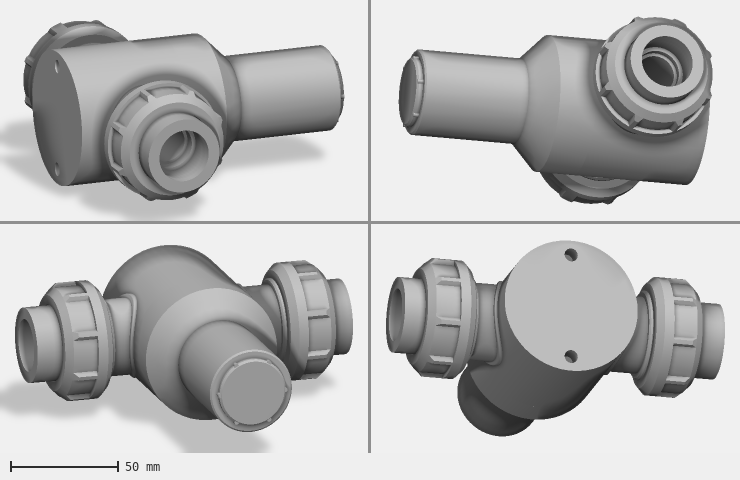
import cadquery as cq
LEFT, RIGHT = -1, 1

BODY_RADIUS = 64.0 / 2
BODY_BOTTOM = -33.1
BODY_SEAM = 21.5
MOUNT_HOLE_DIAMETER = 6.3
MOUNT_HOLE_SPACING = 50.0
MOUNT_HOLE_DEPTH = 9.2

NECK_RADIUS = 40 / 2
SHOULDER_START = 39.3
SHOULDER_END = SHOULDER_START + BODY_RADIUS - NECK_RADIUS
BONNET_TOP = 101.3
BONNET_CHAMFER = 0.8
CAP_RADIUS = 16.2
CAP_HEIGHT = 3.0
CAP_CHAMFER = 1.0
CAP_RIB_COUNT = 6
CAP_RIB_RADIUS = 1.1
CAP_RIB_HEIGHT = 2.6
CAP_RIB_TIP_RADIUS = 17.0

PIPE_RADIUS = 36.0 / 2
PIPE_BORE_DIAMETER = 18.0
SOCKET_FLOOR = 23.1
BEAD_WIDTH = 1.7
BEAD_HEIGHT = 1.4
BEAD_FILLET = 0.6
COLLAR_RADIUS = 21.0
COLLAR_INNER = 41.0
COLLAR_OUTER = 42.7
COLLAR_CHAMFER = 0.8
SPIGOT_RADIUS = 19.1
JOINT_FACE = 55.5

NUT_INNER = 43.5
NUT_OUTER = 66.0
NUT_MOUTH_RADIUS = 36.0 / 2
NUT_FLANGE_RADIUS = 27.7
NUT_FLANGE_CHAMFER = 3.2
NUT_FLANGE_OUTER = 51.3
NUT_BARREL_RADIUS = 25.7
NUT_BARREL_CHAMFER = 3.2
NUT_BARREL_END = NUT_OUTER - NUT_BARREL_CHAMFER
NUT_RIB_COUNT = 8
NUT_RIB_TOP_WIDTH = 2.0
NUT_WIDE_RIB_TOP_WIDTH = 5.4
NUT_RIB_BEVEL = 2.3
NUT_RIB_CROWN = 0.8
NUT_RIB_FLANK_SPREAD = 1.15

NUT_TURN = {LEFT: 135, RIGHT: 180}

TAIL_RADIUS = 17.7
TAIL_END = {LEFT: 75.9, RIGHT: 78.1}
TAIL_SOCKET_DIAMETER = 24.6
TAIL_SOCKET_DEPTH = 17.0
TAIL_BORE_DIAMETER = 21.0


def x_cylinder(radius, start, end):
    return cq.Workplane("YZ").workplane(offset=start).circle(radius).extrude(end - start)


def y_cylinder(radius, start, end):
    return cq.Workplane("XZ").workplane(offset=-start).circle(radius).extrude(start - end)


def revolve_about_x(profile):
    """Revolve a closed outline of (x, radius) points about the X axis."""
    return cq.Workplane("XY").polyline(profile).close().revolve(360, (0, 0), (1, 0))


def placed(solid, side):
    """A body modelled on +X, turned about the housing axis to its own side."""
    return solid if side == RIGHT else solid.rotate((0, 0, 0), (0, 1, 0), 180)


def make_weld_bead():
    """Rounded ring that follows the saddle where a branch pipe enters the housing."""
    bead_reach = BODY_RADIUS + BEAD_HEIGHT
    sleeve = x_cylinder(PIPE_RADIUS + BEAD_WIDTH, SOCKET_FLOOR, bead_reach)
    bead = sleeve.intersect(y_cylinder(bead_reach, -BODY_RADIUS, BODY_RADIUS))
    return bead.faces(">X").edges().fillet(BEAD_FILLET)


def make_housing():
    housing = y_cylinder(BODY_RADIUS, BODY_BOTTOM, BODY_SEAM)
    for side in (LEFT, RIGHT):
        housing = housing.union(placed(make_weld_bead(), side))
    for side in (LEFT, RIGHT):
        socket = x_cylinder(PIPE_RADIUS, SOCKET_FLOOR, BODY_RADIUS + 2 * BEAD_HEIGHT)
        housing = housing.cut(placed(socket, side))
    for height in (-MOUNT_HOLE_SPACING / 2, MOUNT_HOLE_SPACING / 2):
        hole = y_cylinder(MOUNT_HOLE_DIAMETER / 2, BODY_BOTTOM, BODY_BOTTOM + MOUNT_HOLE_DEPTH)
        housing = housing.cut(hole.translate((0, 0, height)))
    return housing


def make_bonnet():
    profile = [
        (0, BODY_SEAM),
        (BODY_RADIUS, BODY_SEAM),
        (BODY_RADIUS, SHOULDER_START),
        (NECK_RADIUS, SHOULDER_END),
        (NECK_RADIUS, BONNET_TOP - BONNET_CHAMFER),
        (NECK_RADIUS - BONNET_CHAMFER, BONNET_TOP),
        (0, BONNET_TOP),
    ]
    return cq.Workplane("XY").polyline(profile).close().revolve(360, (0, 0), (0, 1))


def make_cap():
    """Low disc on the bonnet with small round grip ribs around its edge."""
    cap = y_cylinder(CAP_RADIUS, BONNET_TOP, BONNET_TOP + CAP_HEIGHT)
    cap = cap.faces(">Y").edges().chamfer(CAP_CHAMFER)
    rib = y_cylinder(CAP_RIB_RADIUS, BONNET_TOP, BONNET_TOP + CAP_RIB_HEIGHT)
    rib = rib.translate((CAP_RIB_TIP_RADIUS - CAP_RIB_RADIUS, 0, 0))
    for index in range(CAP_RIB_COUNT):
        cap = cap.union(rib.rotate((0, 0, 0), (0, 1, 0), index * 360 / CAP_RIB_COUNT))
    return cap


def make_branch_pipe():
    """Pipe from the housing socket to the union, with a collar and a spigot inside the nut."""
    profile = [
        (SOCKET_FLOOR, 0),
        (SOCKET_FLOOR, PIPE_RADIUS),
        (COLLAR_INNER, PIPE_RADIUS),
        (COLLAR_INNER, COLLAR_RADIUS - COLLAR_CHAMFER),
        (COLLAR_INNER + COLLAR_CHAMFER, COLLAR_RADIUS),
        (COLLAR_OUTER, COLLAR_RADIUS),
        (COLLAR_OUTER, SPIGOT_RADIUS),
        (JOINT_FACE, SPIGOT_RADIUS),
        (JOINT_FACE, 0),
    ]
    pipe = revolve_about_x(profile)
    return pipe.cut(x_cylinder(PIPE_BORE_DIAMETER / 2, SOCKET_FLOOR, JOINT_FACE))


def make_nut_rib(top_width):
    """Grip rib at +Z with sloped flanks, flush with the flange and bevelled at its outer end."""
    half_top = top_width / 2
    rib_height = NUT_FLANGE_RADIUS - NUT_BARREL_RADIUS
    root_radius = NUT_BARREL_RADIUS - rib_height
    half_root = half_top + 2 * NUT_RIB_FLANK_SPREAD
    crown_radius = NUT_FLANGE_RADIUS + NUT_RIB_CROWN
    half_crown = half_top - NUT_RIB_FLANK_SPREAD * NUT_RIB_CROWN / rib_height
    section = [
        (-half_root, root_radius),
        (half_root, root_radius),
        (half_crown, crown_radius),
        (-half_crown, crown_radius),
    ]
    rib = cq.Workplane("YZ").workplane(offset=NUT_FLANGE_OUTER).polyline(section).close()
    rib = rib.extrude(NUT_BARREL_END - NUT_FLANGE_OUTER)
    envelope = revolve_about_x([
        (NUT_FLANGE_OUTER, 0),
        (NUT_FLANGE_OUTER, NUT_FLANGE_RADIUS),
        (NUT_BARREL_END - NUT_RIB_BEVEL, NUT_FLANGE_RADIUS),
        (NUT_BARREL_END, NUT_BARREL_RADIUS),
        (NUT_BARREL_END, 0),
    ])
    return rib.intersect(envelope)


def make_nut():
    """Union nut with a flange and grip ribs, one of them wider than the rest."""
    nut = revolve_about_x([
        (NUT_INNER, 0),
        (NUT_INNER, NUT_FLANGE_RADIUS - NUT_FLANGE_CHAMFER),
        (NUT_INNER + NUT_FLANGE_CHAMFER, NUT_FLANGE_RADIUS),
        (NUT_FLANGE_OUTER, NUT_FLANGE_RADIUS),
        (NUT_FLANGE_OUTER, NUT_BARREL_RADIUS),
        (NUT_BARREL_END, NUT_BARREL_RADIUS),
        (NUT_OUTER, NUT_BARREL_RADIUS - NUT_BARREL_CHAMFER),
        (NUT_OUTER, 0),
    ])
    pitch = 360 / NUT_RIB_COUNT
    for index in range(NUT_RIB_COUNT):
        rib = make_nut_rib(NUT_WIDE_RIB_TOP_WIDTH if index == 0 else NUT_RIB_TOP_WIDTH)
        nut = nut.union(rib.rotate((0, 0, 0), (1, 0, 0), (index + 0.5) * pitch))
    nut = nut.cut(x_cylinder(SPIGOT_RADIUS, NUT_INNER, JOINT_FACE))
    return nut.cut(x_cylinder(NUT_MOUTH_RADIUS, JOINT_FACE, NUT_OUTER))


def make_tailpiece(end):
    """Plain socket end that leaves the nut."""
    tail = x_cylinder(TAIL_RADIUS, JOINT_FACE, end)
    tail = tail.cut(x_cylinder(TAIL_BORE_DIAMETER / 2, JOINT_FACE, end))
    return tail.cut(x_cylinder(TAIL_SOCKET_DIAMETER / 2, end - TAIL_SOCKET_DEPTH, end))


bodies = [make_housing(), make_bonnet(), make_cap()]
for side in (LEFT, RIGHT):
    nut = make_nut().rotate((0, 0, 0), (1, 0, 0), NUT_TURN[side])
    bodies.append(placed(make_branch_pipe(), side))
    bodies.append(placed(nut, side))
    bodies.append(placed(make_tailpiece(TAIL_END[side]), side))

result = cq.Compound.makeCompound([body.val() for body in bodies])